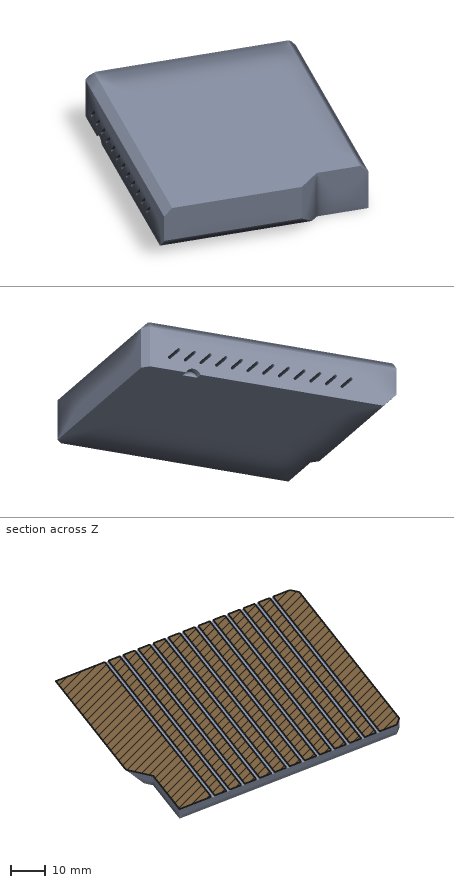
import cadquery as cq
import math

length = 80.5
width = 64.2
height = 15.0

top_bevel = 2.5
corner_bevel = 2.0
end_bevel = 4.1

step_depth = 6.0
step_straight = 15.85
shoulder_length = 6.35

vent_count = 12
vent_row_length = 55.0
vent_pitch = vent_row_length / (vent_count - 1)
first_vent_x = 9.7
vent_z = 5.3
vent_width = 0.9
vent_extent = 3.9
vent_angle = 45.0
vent_length = (vent_extent - vent_width) / math.cos(math.radians(vent_angle)) + vent_width

notch_x = 15.8
notch_radius = 2.5
notch_height = 1.5
notch_depth = 2.4


def make_block():
    """Block with its front left corner cut off, then bevelled along the top except at the right end."""
    outline = [
        (corner_bevel, 0),
        (length, 0),
        (length, width),
        (0, width),
        (0, corner_bevel),
    ]
    block = cq.Workplane("XY").polyline(outline).close().extrude(height)
    top_edges = block.faces(">Z").edges().filter(lambda edge: edge.Center().x < length - top_bevel)
    return block.newObject(top_edges.vals()).chamfer(top_bevel)


def make_rear_left_corner():
    """Upright wedge that cuts across the rear left corner and its top bevels."""
    outline = [(0, width), (corner_bevel, width), (0, width - corner_bevel)]
    return cq.Workplane("XY").polyline(outline).close().extrude(height)


def make_rear_step():
    """Full-height cutout of the rear right corner."""
    step_x = length - step_depth
    shoulder_y = width - step_straight
    outline = [
        (step_x, width),
        (step_x, shoulder_y),
        (length, shoulder_y - shoulder_length),
        (length, width),
    ]
    return cq.Workplane("XY").polyline(outline).close().extrude(height)


def make_end_bevel():
    """Wedge along the lower edge of the right end."""
    outline = [(length - end_bevel, 0), (length, 0), (length, end_bevel)]
    return cq.Workplane("XZ").polyline(outline).close().extrude(-width)


def make_vents():
    """Slanted slots through the full width."""
    centers = [(first_vent_x + index * vent_pitch, vent_z) for index in range(vent_count)]
    return cq.Workplane("XZ").pushPoints(centers).slot2D(vent_length, vent_width, vent_angle).extrude(-width)


def make_notch():
    """Cylinder whose axis lies below the base, so only its top bites into the front edge."""
    axis_z = notch_height - notch_radius
    return cq.Workplane("XZ").center(notch_x, axis_z).circle(notch_radius).extrude(-notch_depth)


result = (
    make_block()
    .cut(make_rear_left_corner())
    .cut(make_rear_step())
    .cut(make_end_bevel())
    .cut(make_vents())
    .cut(make_notch())
)